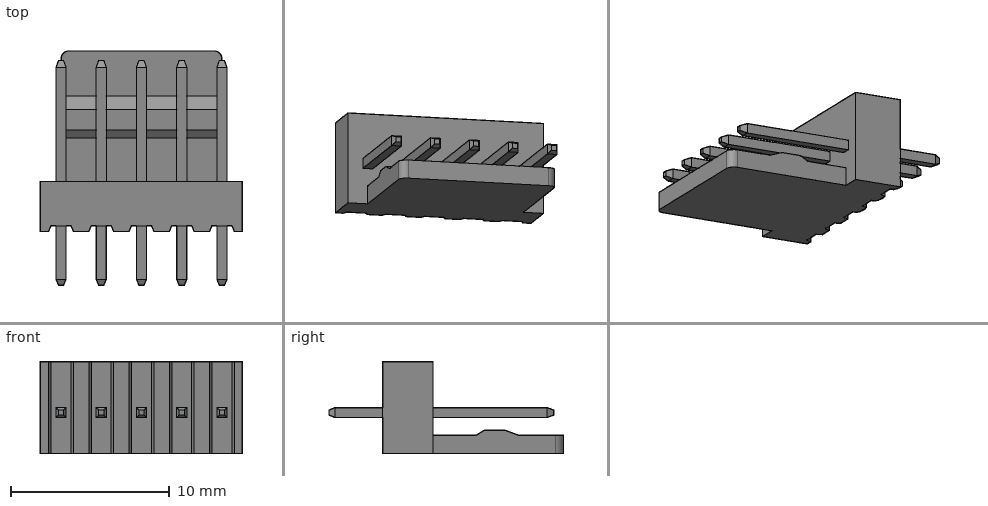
import cadquery as cq

overall_length = 14.8

body_width = 12.75
body_depth = 3.18
body_height = 5.8

pin_count = 5
pin_row_span = 10.15
pin_row_offset = 0.01
pin_pitch = pin_row_span / (pin_count - 1)
pin_size = 0.64
pin_height = 2.59
front_length = 3.39
back_length = 7.62
front_taper = 0.38
back_taper = 0.43
tip_size = 0.33

groove_depth = 0.37
groove_floor_width = 1.26
groove_mouth_width = 1.57

tongue_length = overall_length - front_length - body_depth
tongue_width = pin_row_span
tongue_thickness = 1.17
tongue_corner_radius = 0.5

ridge_top_height = 1.48
ridge_near_foot = 2.72
ridge_near_edge = 3.23
ridge_far_edge = 4.55
ridge_far_foot = 5.39

pin_positions = [pin_row_offset - pin_row_span / 2 + i * pin_pitch for i in range(pin_count)]


def make_body():
    """Rectangular block with a trapezoidal groove in front of each pin."""
    body = cq.Workplane("XY").box(body_width, body_depth, body_height, centered=(True, False, False))
    for x in pin_positions:
        groove = (
            cq.Workplane("XY")
            .moveTo(x - groove_mouth_width / 2, 0)
            .lineTo(x - groove_floor_width / 2, groove_depth)
            .lineTo(x + groove_floor_width / 2, groove_depth)
            .lineTo(x + groove_mouth_width / 2, 0)
            .close()
            .extrude(body_height)
        )
        body = body.cut(groove)
    return body


def make_tongue():
    """Flat tongue with rounded far corners and a ridge over its full width."""
    tongue_end = body_depth + tongue_length
    profile = [
        (body_depth, 0),
        (body_depth, tongue_thickness),
        (body_depth + ridge_near_foot, tongue_thickness),
        (body_depth + ridge_near_edge, ridge_top_height),
        (body_depth + ridge_far_edge, ridge_top_height),
        (body_depth + ridge_far_foot, tongue_thickness),
        (tongue_end, tongue_thickness),
        (tongue_end, 0),
    ]
    tongue = (
        cq.Workplane("YZ", origin=(pin_row_offset, 0, 0))
        .polyline(profile)
        .close()
        .extrude(tongue_width / 2, both=True)
    )
    return tongue.edges("|Z and >Y").fillet(tongue_corner_radius)


def make_tip(x, base_y, tip_y):
    """Pyramid frustum from the full pin section at base_y to the small end at tip_y."""
    base_plane = cq.Plane(origin=(x, base_y, pin_height), xDir=(1, 0, 0), normal=(0, 1, 0))
    return (
        cq.Workplane(base_plane)
        .rect(pin_size, pin_size)
        .workplane(offset=tip_y - base_y)
        .rect(tip_size, tip_size)
        .loft(ruled=True)
    )


def make_pin(x):
    """Square pin running through the body, tapered at both ends."""
    front_end = -front_length
    back_end = body_depth + back_length
    shaft_start = front_end + front_taper
    shaft_end = back_end - back_taper
    shaft = (
        cq.Workplane("XY")
        .box(pin_size, shaft_end - shaft_start, pin_size, centered=(True, False, True))
        .translate((x, shaft_start, pin_height))
    )
    front_tip = make_tip(x, shaft_start, front_end)
    back_tip = make_tip(x, shaft_end, back_end)
    return shaft.union(front_tip).union(back_tip)


header = make_body().union(make_tongue())
for pin_x in pin_positions:
    header = header.union(make_pin(pin_x))

result = header